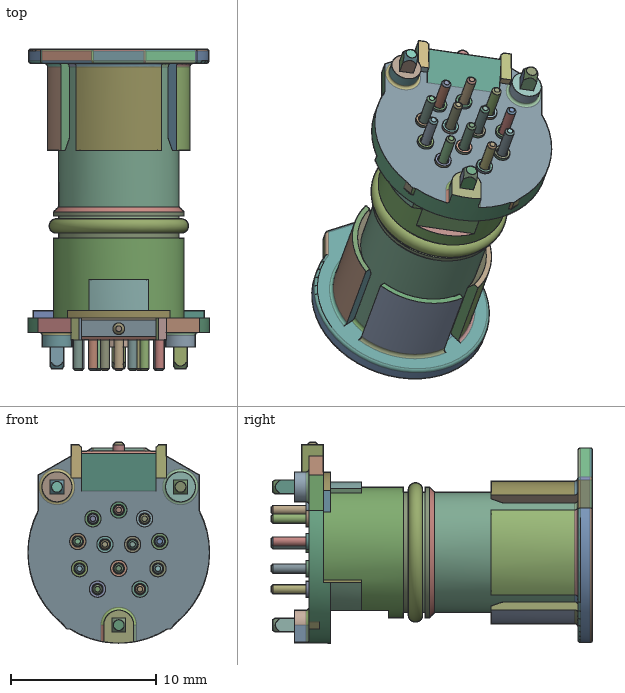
import cadquery as cq
import math


EPS = 0.3

pin_tip_y = -2.6
peg_tip_y = -2.5
boss_face_y = -1.0
post_face_y = -0.5
plate_back_y = 1.0
pad_back_y = 1.5
key_end_y = 3.63
flat_end_y = 5.47
groove_start_y = 6.5
groove_end_y = 8.0
collar_end_y = 8.3
collar_cone_end_y = 8.65
segment_start_y = 12.53
flange_start_y = 18.5
flange_thickness = 1.0

base_radius = 4.5
barrel_radius = 4.15
barrel_flat_z = -4.01

segment_radius = 4.92
segment_gap_width = 1.46
relief_radius = 4.55
relief_length = 0.8
root_fillet = 0.22

ring_section_radius = 0.5
ring_outer_radius = 4.8
ring_center_radius = ring_outer_radius - ring_section_radius
ring_y = 7.33

flange_radius = 6.2
flange_top_z = 7.2
flange_top_half_width = 1.8
flange_half_width = 5.4
flange_back_fillet = 0.15
flange_front_fillet = 0.2
flange_corner_fillet = 0.25

plate_radius = 6.25
plate_half_width = 5.54
plate_shoulder_z = 5.33
slope_angle = math.radians(30)
barb_tip = (3.57, -5.27)
barb_root = (5.02, -3.72)
barb_depth = 0.74

upper_pad_radius = 5.53
upper_pad_half_width = 3.53
lower_pad_top_z = -2.08
key_radius = 4.87
key_angle = 50
key_start_angles = (65, 205, 285)

post_inner_x = 2.55
post_outer_x = 3.27
post_bottom_z = 5.12
post_top_z = 7.41
post_chamfer = 0.2
wedge_bottom_z = 4.21
wedge_front_z = 6.8
block_top_z = 6.97
block_top_front_y = -0.27
block_back_chamfer = 0.15
nib_radius = 0.4
nib_chamfer = 0.2
nib_top_z = 7.59
nib_y = 0.26

boss_radius = 1.03
boss_fillet = 0.19
upper_boss_x = 4.25
upper_boss_z = 4.51
lower_boss_z = -5.0
peg_side = 0.95
peg_tip_radius = 0.37
peg_taper = math.radians(30)

outer_pin_circle = 2.92
outer_pin_count = 9
outer_pin_start = 240
outer_pin_step = 37.5
inner_pin_circle = 1.1
inner_pin_angles = (30, 150, 270)
pin_radius = 0.32
pin_tip_chamfer = 0.13
pin_collar_radius = 0.56
pin_collar_height = 0.21
pin_recess_radius = 0.39


def section(y_far):
    """Sketch plane at y_far: local axes are X and Z, extrusion goes toward -Y."""
    return cq.Workplane("XZ", origin=(0, y_far, 0))


def box(x_range, y_range, z_range):
    size = [high - low for low, high in (x_range, y_range, z_range)]
    low_corner = (x_range[0], y_range[0], z_range[0])
    return cq.Workplane("XY").box(*size, centered=False).translate(low_corner)


def disc(radius, y_near, y_far):
    return section(y_far).circle(radius).extrude(y_far - y_near)


def revolve_about_y(profile):
    return profile.close().revolve(360, (0, 0, 0), (0, 1, 0))


def arc_middle(fillet):
    """Distance from either wall to the middle of a concave fillet between them."""
    return fillet * (1 - math.sqrt(0.5))


def chord_z(radius, x):
    """Height of a circle centred on the axis at a given X."""
    return math.sqrt(radius**2 - x**2)


def barrel():
    corner = arc_middle(root_fillet)
    profile = (
        cq.Workplane("XY")
        .moveTo(0, plate_back_y - EPS)
        .lineTo(base_radius, plate_back_y - EPS)
        .lineTo(base_radius, groove_start_y)
        .lineTo(barrel_radius, groove_start_y)
        .lineTo(barrel_radius, groove_end_y)
        .lineTo(base_radius, groove_end_y)
        .lineTo(base_radius, collar_end_y)
        .lineTo(barrel_radius, collar_cone_end_y)
        .lineTo(barrel_radius, segment_start_y + relief_length)
        .lineTo(relief_radius, segment_start_y)
        .lineTo(segment_radius, segment_start_y)
        .lineTo(segment_radius, flange_start_y - root_fillet)
        .threePointArc(
            (segment_radius + corner, flange_start_y - corner),
            (segment_radius + root_fillet, flange_start_y),
        )
        .lineTo(segment_radius + root_fillet, flange_start_y + EPS)
        .lineTo(0, flange_start_y + EPS)
    )
    flat_cut = box(
        (-key_radius, key_radius),
        (plate_back_y, flat_end_y),
        (-key_radius, barrel_flat_z),
    )
    body = revolve_about_y(profile).cut(segment_gaps())
    for start_angle in key_start_angles:
        body = body.union(barrel_key(start_angle))
    return body.cut(flat_cut)


def segment_gaps():
    """Four diagonal, parallel-sided gaps that split the sleeve into segments."""
    corner = arc_middle(root_fillet)
    gap_outer = segment_radius + 2 * root_fillet
    ring = revolve_about_y(
        cq.Workplane("XY")
        .moveTo(barrel_radius, segment_start_y)
        .lineTo(barrel_radius, flange_start_y - root_fillet)
        .threePointArc(
            (barrel_radius + corner, flange_start_y - corner),
            (barrel_radius + root_fillet, flange_start_y),
        )
        .lineTo(gap_outer, flange_start_y)
        .lineTo(gap_outer, segment_start_y)
    )
    slot = box(
        (-gap_outer, gap_outer),
        (segment_start_y, flange_start_y),
        (-segment_gap_width / 2, segment_gap_width / 2),
    )
    slots = slot.rotate((0, 0, 0), (0, 1, 0), 45).union(slot.rotate((0, 0, 0), (0, 1, 0), 135))
    return ring.intersect(slots)


def shouldered_outline(plane, radius, half_width, shoulder_z, top_half_width, top_z):
    """Round below, straight sides above, sloping shoulders and a flat top."""
    side_z = chord_z(radius, half_width)
    return (
        plane.moveTo(half_width, side_z)
        .lineTo(half_width, shoulder_z)
        .lineTo(top_half_width, top_z)
        .lineTo(-top_half_width, top_z)
        .lineTo(-half_width, shoulder_z)
        .lineTo(-half_width, side_z)
        .threePointArc((0, -radius), (half_width, side_z))
        .close()
    )


def flange():
    shoulder_drop = (flange_half_width - flange_top_half_width) * math.tan(slope_angle)
    shoulder_z = flange_top_z - shoulder_drop
    plate = shouldered_outline(
        section(flange_start_y + flange_thickness),
        flange_radius,
        flange_half_width,
        shoulder_z,
        flange_top_half_width,
        flange_top_z,
    ).extrude(flange_thickness)
    corners = cq.selectors.BoxSelector(
        (-flange_radius, flange_start_y, shoulder_z - EPS),
        (flange_radius, flange_start_y + flange_thickness, flange_top_z + EPS),
    )
    plate = plate.edges("|Y").edges(corners).fillet(flange_corner_fillet)
    plate = plate.faces(">Y").edges().fillet(flange_back_fillet)
    return plate.faces("<Y").edges().fillet(flange_front_fillet)


def terminal_plate():
    shoulder_rise = (plate_half_width - post_outer_x) * math.tan(slope_angle)
    plate = shouldered_outline(
        section(plate_back_y),
        plate_radius,
        plate_half_width,
        plate_shoulder_z,
        post_outer_x,
        plate_shoulder_z + shoulder_rise,
    ).extrude(plate_back_y)
    for side in (1, -1):
        barb = (
            section(barb_depth)
            .moveTo(0, barb_tip[1])
            .lineTo(side * barb_tip[0], barb_tip[1])
            .lineTo(side * barb_root[0], barb_root[1])
            .lineTo(0, barb_root[1])
            .close()
            .extrude(barb_depth)
        )
        plate = plate.union(barb)
    return plate


def back_pads():
    """Raised areas on the barrel side of the plate, above and below."""
    y_near = plate_back_y - EPS
    y_range = (y_near, pad_back_y)
    upper = disc(upper_pad_radius, y_near, pad_back_y).intersect(
        box((-upper_pad_half_width, upper_pad_half_width), y_range, (0, plate_radius))
    )
    lower = disc(plate_radius, y_near, pad_back_y).intersect(
        box((-plate_radius, plate_radius), y_range, (-plate_radius, lower_pad_top_z))
    )
    return upper.union(lower)


def barrel_key(start_angle):
    """Raised sector with radial side walls."""

    def rim_point(angle):
        return (
            key_radius * math.cos(math.radians(angle)),
            key_radius * math.sin(math.radians(angle)),
        )

    return (
        section(key_end_y)
        .lineTo(*rim_point(start_angle))
        .threePointArc(rim_point(start_angle + key_angle / 2), rim_point(start_angle + key_angle))
        .close()
        .extrude(key_end_y - plate_back_y + EPS)
    )


def coding_block():
    """Wedge-faced block between two posts, with a nib on its top."""
    profile = (
        cq.Workplane("YZ", origin=(-post_outer_x, 0, 0))
        .moveTo(0, wedge_bottom_z)
        .lineTo(post_face_y, wedge_front_z)
        .lineTo(block_top_front_y, block_top_z)
        .lineTo(plate_back_y - block_back_chamfer, block_top_z)
        .lineTo(plate_back_y, block_top_z - block_back_chamfer)
        .lineTo(plate_back_y, wedge_bottom_z)
        .close()
    )
    block = profile.extrude(2 * post_outer_x).intersect(
        box((-post_inner_x, post_inner_x), (post_face_y, plate_back_y), (0, post_top_z))
    )
    post = box(
        (post_inner_x, post_outer_x),
        (post_face_y, plate_back_y),
        (post_bottom_z, post_top_z),
    )
    post = post.edges("<X and >Z").chamfer(post_chamfer)
    nib = (
        cq.Workplane("XY", origin=(0, nib_y, block_top_z - EPS))
        .circle(nib_radius)
        .extrude(nib_top_z - block_top_z + EPS)
        .faces(">Z")
        .chamfer(nib_chamfer)
    )
    return block.union(post).union(post.mirror("YZ")).union(nib)


def peg(x, z):
    """Square peg with a conical tip."""
    cone_radius = peg_side
    cone_length = (cone_radius - peg_tip_radius) / math.tan(peg_taper)
    square = section(EPS).rect(peg_side, peg_side).extrude(EPS - peg_tip_y)
    envelope = revolve_about_y(
        cq.Workplane("XY")
        .moveTo(0, peg_tip_y)
        .lineTo(peg_tip_radius, peg_tip_y)
        .lineTo(cone_radius, peg_tip_y + cone_length)
        .lineTo(cone_radius, EPS)
        .lineTo(0, EPS)
    )
    return square.intersect(envelope).translate((x, 0, z))


def boss_body():
    """Round boss around the Y axis with a concave fillet at its foot."""
    corner = arc_middle(boss_fillet)
    return revolve_about_y(
        cq.Workplane("XY")
        .moveTo(0, boss_face_y)
        .lineTo(boss_radius, boss_face_y)
        .lineTo(boss_radius, -boss_fillet)
        .threePointArc((boss_radius + corner, -corner), (boss_radius + boss_fillet, 0))
        .lineTo(boss_radius, EPS)
        .lineTo(0, EPS)
    )


def upper_boss(x):
    return boss_body().translate((x, 0, upper_boss_z)).union(peg(x, upper_boss_z))


def lower_boss():
    """Boss whose straight sides run out to the rim of the plate."""
    corner = arc_middle(boss_fillet)
    foot = boss_radius + boss_fillet
    tail = (
        cq.Workplane("XY")
        .moveTo(-boss_radius, boss_face_y)
        .lineTo(boss_radius, boss_face_y)
        .lineTo(boss_radius, -boss_fillet)
        .threePointArc((boss_radius + corner, -corner), (foot, 0))
        .lineTo(foot, EPS)
        .lineTo(-foot, EPS)
        .lineTo(-foot, 0)
        .threePointArc((-boss_radius - corner, -corner), (-boss_radius, -boss_fillet))
        .close()
        .extrude(-plate_radius)
    )
    rim = disc(plate_radius, boss_face_y, EPS)
    boss = boss_body().union(tail).translate((0, 0, lower_boss_z)).intersect(rim)
    return boss.union(peg(0, lower_boss_z))


def contact_pin(angle, circle_radius):
    """Round pin standing in the recess of a low collar."""
    collar = disc(pin_collar_radius, -pin_collar_height, EPS)
    collar = collar.cut(disc(pin_recess_radius, -pin_collar_height, 0))
    pin = disc(pin_radius, pin_tip_y, EPS).faces("<Y").chamfer(pin_tip_chamfer)
    x = circle_radius * math.cos(math.radians(angle))
    z = circle_radius * math.sin(math.radians(angle))
    return collar.union(pin).translate((x, 0, z))


def sealing_ring():
    profile = cq.Workplane("XY").center(ring_center_radius, ring_y).circle(ring_section_radius)
    return profile.revolve(360, (-ring_center_radius, 0, 0), (-ring_center_radius, 1, 0))


ring = sealing_ring()

housing = barrel().union(flange())
housing = housing.union(terminal_plate()).union(back_pads()).union(coding_block())
for side in (-1, 1):
    housing = housing.union(upper_boss(side * upper_boss_x))
housing = housing.union(lower_boss())
for index in range(outer_pin_count):
    housing = housing.union(contact_pin(outer_pin_start - index * outer_pin_step, outer_pin_circle))
for pin_angle in inner_pin_angles:
    housing = housing.union(contact_pin(pin_angle, inner_pin_circle))
housing = housing.cut(ring)

result = cq.Compound.makeCompound([housing.val(), ring.val()])